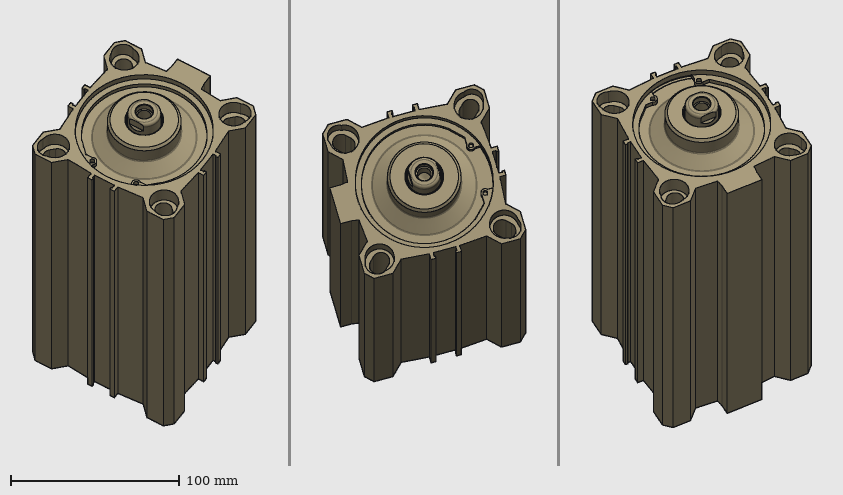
import cadquery as cq
import math

housing_height = 205.6
half_width = 50.0
lug_inner = 33.5
lug_root = 26.5
lug_chamfer = 4.7
wall_at_lug = half_width - (lug_inner - lug_root)
wall_at_middle = 44.1

port_face = 55.0
port_step = 48.4
port_base_half = 12.3
port_face_half = 11.6

rib_outer_half = 9.5
rib_thickness = 2.5
rib_hook_width = 3.1
rib_hook_height = 1.5
rib_top = 48.0

bolt_pitch_half = 38.5
bolt_hole_diameter = 10.3
bolt_slot_inner = -1.5
bolt_slot_outer = 2.0
bolt_seat_diameter = 17.5
bolt_seat_depth = 10.0
seat_relief_diameter = 14.0
seat_relief_shift = 3.5

bore_diameter = 82.2
groove_diameter = 85.5
ring_inner_diameter = 74.8
ring_thickness = 3.0
ring_depth = 4.3
ring_gap_half = 13.7
ear_hole_diameter = 3.0
ear_radius = 2.7
ear_x = 15.5
ear_y = -33.4
ear_land_y = -31.1
ear_land_x = 21.3
ear_blend_x = 29.3

cover_diameter = 81.8
cover_thickness = 22.5
cone_base_diameter = 62.3
cone_height = 5.8
root_fillet = 1.0
collar_diameter = 44.0
collar_top = 216.0
collar_chamfer = 1.5
rod_bore_mouth_diameter = 23.0
rod_recess_diameter = 22.0
rod_recess_depth = 2.2
rod_bore_diameter = 20.5

rod_diameter = 20.0
rod_top = 224.0
rod_fillet = 2.0
flat_spacing = 17.2
flat_bottom = 218.2
rod_hole_mouth_diameter = 11.0
rod_counterbore_diameter = 10.3
rod_counterbore_depth = 4.3
rod_hole_diameter = 8.3
rod_hole_depth = 13.5
drill_point_angle = 118.0

ring_top_z = housing_height - ring_depth
ring_bottom_z = ring_top_z - ring_thickness
bore_floor_z = ring_bottom_z - cover_thickness


def disc(diameter, bottom, top):
    """Upright cylinder on the part's axis."""
    return cq.Workplane("XY").workplane(offset=bottom).circle(diameter / 2).extrude(top - bottom)


def revolved(points):
    """Solid of revolution about Z from (radius, height) points."""
    return cq.Workplane("XZ").polyline(points).close().revolve(360, (0, 0), (0, 1))


def housing_profile():
    """Quarter of the outline, turned four times about the axis."""
    quarter = [
        (wall_at_middle, -rib_outer_half),
        (wall_at_middle, rib_outer_half),
        (wall_at_lug, lug_root),
        (half_width, lug_inner),
        (half_width, half_width - lug_chamfer),
        (half_width - lug_chamfer, half_width),
        (lug_inner, half_width),
        (lug_root, wall_at_lug),
    ]
    outline = []
    for turn in range(4):
        angle = math.radians(90 * turn)
        for x, y in quarter:
            outline.append(
                (x * math.cos(angle) - y * math.sin(angle), x * math.sin(angle) + y * math.cos(angle))
            )
    return outline


def port_block():
    half = [
        (port_base_half, 0),
        (port_base_half, wall_at_middle),
        (port_face_half, port_step),
        (port_face_half, port_face),
    ]
    mirrored = [(-x, y) for x, y in reversed(half)]
    return cq.Workplane("XY").polyline(half + mirrored).close().extrude(housing_height)


def rail_ribs():
    """Pair of facing hooked ribs on the -Y wall."""
    hook_inner = rib_outer_half - rib_hook_width
    stem_inner = rib_outer_half - rib_thickness
    rib = (
        cq.Workplane("XY")
        .polyline([
            (rib_outer_half, -wall_at_lug),
            (rib_outer_half, -rib_top),
            (hook_inner, -rib_top),
            (hook_inner, -rib_top + rib_hook_height),
            (stem_inner, -rib_top + rib_hook_height),
            (stem_inner, -wall_at_lug),
        ])
        .close()
        .extrude(housing_height)
    )
    return rib.union(rib.mirror("YZ"))


def make_bolt_hole():
    """Slotted hole and relieved seat on the +X axis, on the bolt circle."""
    bolt_radius = bolt_pitch_half * math.sqrt(2)
    slot_middle = bolt_radius + (bolt_slot_inner + bolt_slot_outer) / 2
    slot_length = bolt_slot_outer - bolt_slot_inner + bolt_hole_diameter
    slot = (
        cq.Workplane("XY")
        .center(slot_middle, 0)
        .slot2D(slot_length, bolt_hole_diameter)
        .extrude(housing_height)
    )
    seat_plane = cq.Workplane("XY").workplane(offset=housing_height - bolt_seat_depth)
    seat = seat_plane.center(bolt_radius, 0).circle(bolt_seat_diameter / 2).extrude(bolt_seat_depth)
    relief = (
        seat_plane.center(bolt_radius + seat_relief_shift, 0)
        .circle(seat_relief_diameter / 2)
        .extrude(bolt_seat_depth)
    )
    return slot.union(seat).union(relief)


def about_axis(shape, angle):
    return shape.rotate((0, 0, 0), (0, 0, 1), angle)


def make_housing():
    body = cq.Workplane("XY").polyline(housing_profile()).close().extrude(housing_height)
    body = body.union(port_block())
    for angle in (-90, 0, 90):
        body = body.union(about_axis(rail_ribs(), angle))
    bolt_hole = make_bolt_hole()
    for turn in range(4):
        body = body.cut(about_axis(bolt_hole, 45 + 90 * turn))
    body = body.cut(disc(bore_diameter, bore_floor_z, housing_height))
    return body.cut(disc(groove_diameter, ring_bottom_z, ring_top_z))


def make_retaining_ring():
    """C-shaped ring with an eared end on each side of the gap."""
    outer_radius = groove_diameter / 2
    inner_radius = ring_inner_diameter / 2
    gap_outer_y = -math.sqrt(outer_radius**2 - ring_gap_half**2)
    ear_bottom_y = ear_y - math.sqrt(ear_radius**2 - (ear_x - ring_gap_half) ** 2)
    ear_end_x = ear_x + math.sqrt(ear_radius**2 - (ear_land_y - ear_y) ** 2)
    blend_y = -math.sqrt(inner_radius**2 - ear_blend_x**2)
    return (
        cq.Workplane("XY")
        .workplane(offset=ring_bottom_z)
        .moveTo(ring_gap_half, gap_outer_y)
        .threePointArc((0, outer_radius), (-ring_gap_half, gap_outer_y))
        .lineTo(-ring_gap_half, ear_bottom_y)
        .threePointArc((-ear_x + ear_radius, ear_y), (-ear_end_x, ear_land_y))
        .lineTo(-ear_land_x, ear_land_y)
        .lineTo(-ear_blend_x, blend_y)
        .threePointArc((0, inner_radius), (ear_blend_x, blend_y))
        .lineTo(ear_land_x, ear_land_y)
        .lineTo(ear_end_x, ear_land_y)
        .threePointArc((ear_x - ear_radius, ear_y), (ring_gap_half, ear_bottom_y))
        .close()
        .pushPoints([(-ear_x, ear_y), (ear_x, ear_y)])
        .circle(ear_hole_diameter / 2)
        .extrude(ring_thickness)
    )


def at_level(z):
    """Selects the circular edges that lie in the plane at height z."""
    margin = 0.02
    span = bore_diameter
    return cq.selectors.BoxSelector((-span, -span, z - margin), (span, span, z + margin), boundingbox=True)


def make_cover():
    bore_radius = rod_bore_diameter / 2
    cover_radius = cover_diameter / 2
    mouth_radius = rod_bore_mouth_diameter / 2
    recess_radius = rod_recess_diameter / 2
    collar_radius = collar_diameter / 2
    cone_top_z = ring_bottom_z + cone_height
    cover = revolved([
        (bore_radius, bore_floor_z),
        (cover_radius, bore_floor_z),
        (cover_radius, ring_bottom_z),
        (cone_base_diameter / 2, ring_bottom_z),
        (collar_radius, cone_top_z),
        (collar_radius, collar_top - collar_chamfer),
        (collar_radius - collar_chamfer, collar_top),
        (mouth_radius, collar_top),
        (recess_radius, collar_top - (mouth_radius - recess_radius)),
        (recess_radius, collar_top - rod_recess_depth),
        (bore_radius, collar_top - rod_recess_depth),
    ])
    cover = cover.edges(at_level(cone_top_z)).fillet(root_fillet)
    cone_foot = cq.selectors.RadiusNthSelector(0)
    return cover.edges(at_level(ring_bottom_z)).edges(cone_foot).fillet(root_fillet)


def wrench_flat_cutter():
    """Stock removed at the -Y flat, ending in a 45 degree run-out."""
    flat_y = flat_spacing / 2
    reach = rod_diameter / 2
    runout = reach - flat_y
    return (
        cq.Workplane("YZ")
        .polyline([
            (-flat_y, rod_top),
            (-flat_y, flat_bottom),
            (-reach, flat_bottom - runout),
            (-reach, rod_top),
        ])
        .close()
        .extrude(reach, both=True)
    )


def make_rod():
    rod = disc(rod_diameter, bore_floor_z, rod_top).faces(">Z").edges().fillet(rod_fillet)
    flat = wrench_flat_cutter()
    rod = rod.cut(flat).cut(flat.mirror("XZ"))
    hole_radius = rod_hole_diameter / 2
    counterbore_radius = rod_counterbore_diameter / 2
    mouth_radius = rod_hole_mouth_diameter / 2
    hole_bottom = rod_top - rod_hole_depth
    point_height = hole_radius / math.tan(math.radians(drill_point_angle / 2))
    hole = revolved([
        (0, rod_top),
        (mouth_radius, rod_top),
        (counterbore_radius, rod_top - (mouth_radius - counterbore_radius)),
        (counterbore_radius, rod_top - rod_counterbore_depth),
        (hole_radius, rod_top - rod_counterbore_depth),
        (hole_radius, hole_bottom),
        (0, hole_bottom - point_height),
    ])
    return rod.cut(hole)


housing = make_housing()
retaining_ring = make_retaining_ring()
cover = make_cover()
rod = make_rod()

result = cq.Compound.makeCompound([housing.val(), retaining_ring.val(), cover.val(), rod.val()])